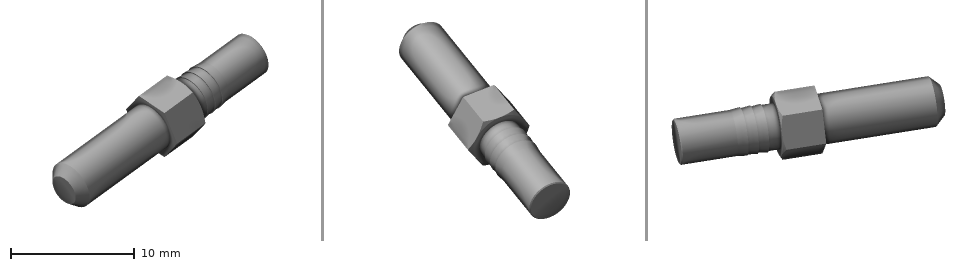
import cadquery as cq
import math

total_length = 22.1
front_end = -total_length / 2
rear_end = total_length / 2

shaft_radius = 4.18 / 2
shaft_tip_radius = 2.6 / 2
shaft_tip_length = 0.82

hex_across_flats = 5.0
hex_across_corners = hex_across_flats / math.cos(math.radians(30))
hex_length = 3.54
hex_chamfer_angle = 30.0

stem_length = 8.3
stem_radius = 3.8 / 2
stem_chamfer = 0.09

barb_count = 3
barb_pitch = 0.86
barb_radius = 4.0 / 2
barbs_from_rear_end = 4.69

hex_rear = rear_end - stem_length
hex_front = hex_rear - hex_length


def revolve_about_y(profile_points):
    """Revolve a closed (radius, y) profile around the Y axis."""
    return cq.Workplane("XY").polyline(profile_points).close().revolve(360, (0, 0, 0), (0, 1, 0))


def make_shaft():
    return revolve_about_y([
        (0, front_end),
        (shaft_tip_radius, front_end),
        (shaft_radius, front_end + shaft_tip_length),
        (shaft_radius, hex_front),
        (0, hex_front),
    ])


def make_hex_collar():
    """Hexagonal prism with corners on the X axis, its rear corners turned off by a cone."""
    prism = (
        cq.Workplane("XZ", origin=(0, hex_rear, 0))
        .polygon(6, hex_across_corners)
        .extrude(hex_length)
    )
    rim_radius = hex_across_flats / 2
    corner_radius = hex_across_corners / 2
    chamfer_depth = (corner_radius - rim_radius) * math.tan(math.radians(hex_chamfer_angle))
    envelope_radius = 2 * corner_radius - rim_radius
    envelope_shoulder = hex_rear - 2 * chamfer_depth
    envelope = revolve_about_y([
        (0, hex_front),
        (envelope_radius, hex_front),
        (envelope_radius, envelope_shoulder),
        (rim_radius, hex_rear),
        (0, hex_rear),
    ])
    return prism.intersect(envelope)


def make_barbed_stem():
    profile = [
        (0, rear_end),
        (stem_radius - stem_chamfer, rear_end),
        (stem_radius, rear_end - stem_chamfer),
    ]
    for index in range(barb_count):
        barb_start = rear_end - barbs_from_rear_end - index * barb_pitch
        barb_step = barb_start - barb_pitch
        profile += [
            (stem_radius, barb_start),
            (barb_radius, barb_step),
        ]
    profile += [
        (stem_radius, barb_step),
        (stem_radius, hex_rear),
        (0, hex_rear),
    ]
    return revolve_about_y(profile)


result = make_shaft().union(make_hex_collar()).union(make_barbed_stem())